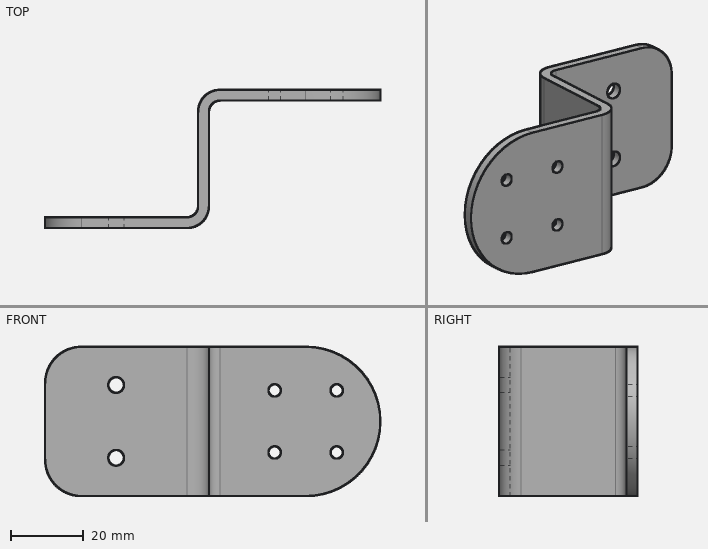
import cadquery as cq

length = 92.0
depth = 38.0
height = 41.0

thickness = 3.0
bend_inner_radius = 3.0
bend_outer_radius = bend_inner_radius + thickness
web_right_x = 45.0
web_left_x = web_right_x - thickness

corner_radius = 10.0
round_end_radius = height / 2
round_end_x = length - round_end_radius
mid_z = height / 2

front_hole_diameter = 4.2
front_hole_x = 19.5
front_hole_spacing = 20.0
rear_hole_diameter = 3.3
rear_hole_spacing = 17.0


def bent_sheet():
    """Z profile in plan, extruded upward, with concentric bend radii."""
    profile = [
        (0, 0),
        (web_right_x, 0),
        (web_right_x, depth - thickness),
        (length, depth - thickness),
        (length, depth),
        (web_left_x, depth),
        (web_left_x, thickness),
        (0, thickness),
    ]
    sheet = cq.Workplane("XY").polyline(profile).close().extrude(height)
    outer_bends = [(web_right_x, 0), (web_left_x, depth)]
    inner_bends = [(web_left_x, thickness), (web_right_x, depth - thickness)]
    for bends, radius in ((outer_bends, bend_outer_radius), (inner_bends, bend_inner_radius)):
        for x, y in bends:
            edge = cq.selectors.NearestToPointSelector((x, y, mid_z))
            sheet = sheet.edges("|Z").edges(edge).fillet(radius)
    return sheet


def flange_outline():
    """Block with rounded left corners and a semicircular right end."""
    block = (
        cq.Workplane("XZ")
        .moveTo(0, 0)
        .lineTo(round_end_x, 0)
        .threePointArc((length, mid_z), (round_end_x, height))
        .lineTo(0, height)
        .close()
        .extrude(-depth)
    )
    return block.edges("|Y and <X").fillet(corner_radius)


def hole_cutters(points, diameter, start_y):
    """Cylinders along Y that pass through one flange."""
    plane = cq.Workplane("XZ", origin=(0, start_y, 0))
    return plane.pushPoints(points).circle(diameter / 2).extrude(-thickness)


front_holes = [(front_hole_x, mid_z + side * front_hole_spacing / 2) for side in (-1, 1)]
rear_holes = [
    (round_end_x + side_x * rear_hole_spacing / 2, mid_z + side_z * rear_hole_spacing / 2)
    for side_x in (-1, 1)
    for side_z in (-1, 1)
]

result = (
    bent_sheet()
    .intersect(flange_outline())
    .cut(hole_cutters(front_holes, front_hole_diameter, 0))
    .cut(hole_cutters(rear_holes, rear_hole_diameter, depth - thickness))
)